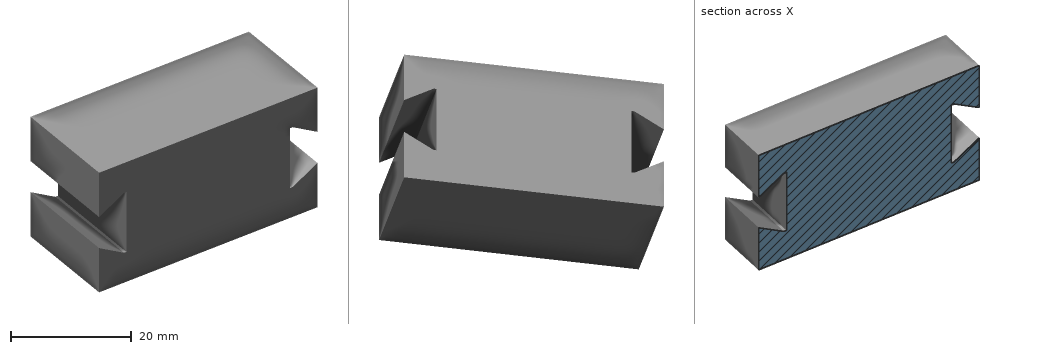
import cadquery as cq
import math

WIDTH = 20.0
LENGTH = 44.0
HEIGHT = 24.0

GROOVE_DEPTH = 5.5
GROOVE_FLOOR_HEIGHT = 12.0
FLAT_DEPTH = 0.5
FLANK_ANGLE = 30.0

flank_run = GROOVE_DEPTH - FLAT_DEPTH
flank_rise = flank_run * math.tan(math.radians(FLANK_ANGLE))
floor_half = GROOVE_FLOOR_HEIGHT / 2
mouth_half = floor_half - flank_rise


def dovetail_groove(side):
    """Solid to cut from the Y end given by side (+1 or -1)."""
    mouth_y = side * LENGTH / 2
    flat_y = mouth_y - side * flank_run
    floor_y = mouth_y - side * GROOVE_DEPTH
    outline = [
        (mouth_y, mouth_half),
        (flat_y, floor_half),
        (floor_y, floor_half),
        (floor_y, -floor_half),
        (flat_y, -floor_half),
        (mouth_y, -mouth_half),
    ]
    return cq.Workplane("YZ").polyline(outline).close().extrude(WIDTH / 2, both=True)


result = cq.Workplane("XY").box(WIDTH, LENGTH, HEIGHT)
for end in (-1, 1):
    result = result.cut(dovetail_groove(end))